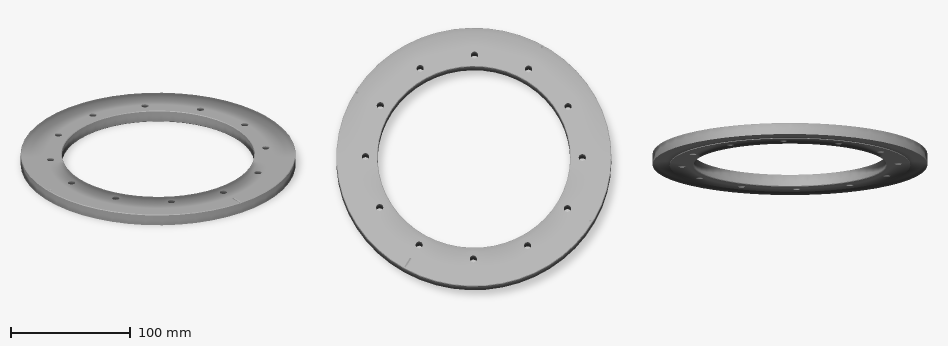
import cadquery as cq

OUTER_DIAMETER = 229.2
BORE_DIAMETER = 160.5
TOTAL_HEIGHT = 10.0

SEAT_DIAMETER = 200.5
SEAT_HEIGHT = 0.5

BOLT_COUNT = 12
BOLT_HOLE_DIAMETER = 6.0
BOLT_CIRCLE_DIAMETER = 180.5

EDGE_CHAMFER = 0.5

MARK_WIDTH = 2.0
MARK_DEPTH = 0.5
MARK_CENTRE_RADIUS = 112.5
MARK_ANGLES = (0, 90, 180, 270)
GROOVE_START_RADIUS = 103.8


def make_ring():
    """Revolved ring with a shallow, narrower seat under it and chamfered edges."""
    outer_radius = OUTER_DIAMETER / 2
    seat_radius = SEAT_DIAMETER / 2
    bore_radius = BORE_DIAMETER / 2
    profile = [
        (bore_radius + EDGE_CHAMFER, 0),
        (seat_radius, 0),
        (seat_radius, SEAT_HEIGHT),
        (outer_radius, SEAT_HEIGHT),
        (outer_radius, TOTAL_HEIGHT - EDGE_CHAMFER),
        (outer_radius - EDGE_CHAMFER, TOTAL_HEIGHT),
        (bore_radius + EDGE_CHAMFER, TOTAL_HEIGHT),
        (bore_radius, TOTAL_HEIGHT - EDGE_CHAMFER),
        (bore_radius, EDGE_CHAMFER),
    ]
    return cq.Workplane("XZ").polyline(profile).close().revolve(360, (0, 0), (0, 1))


def make_bolt_holes():
    """Through holes equally spaced on the bolt circle."""
    return (
        cq.Workplane("XY")
        .polarArray(BOLT_CIRCLE_DIAMETER / 2, 0, 360, BOLT_COUNT)
        .circle(BOLT_HOLE_DIAMETER / 2)
        .extrude(TOTAL_HEIGHT)
    )


def make_dimple(angle):
    """Shallow conical dimple in the top face at the given angle around the ring."""
    cone = cq.Solid.makeCone(
        MARK_WIDTH / 2,
        0,
        MARK_DEPTH,
        pnt=cq.Vector(MARK_CENTRE_RADIUS, 0, TOTAL_HEIGHT),
        dir=cq.Vector(0, 0, -1),
    )
    return cq.Workplane(cone).rotate((0, 0, 0), (0, 0, 1), angle)


def make_zero_groove():
    """Radial V-groove on the +X side, ending in the outer dimple there."""
    return (
        cq.Workplane("YZ")
        .workplane(offset=GROOVE_START_RADIUS)
        .moveTo(-MARK_WIDTH / 2, TOTAL_HEIGHT)
        .lineTo(0, TOTAL_HEIGHT - MARK_DEPTH)
        .lineTo(MARK_WIDTH / 2, TOTAL_HEIGHT)
        .close()
        .extrude(MARK_CENTRE_RADIUS - GROOVE_START_RADIUS)
    )


result = make_ring().cut(make_bolt_holes()).cut(make_zero_groove())
for mark_angle in MARK_ANGLES:
    result = result.cut(make_dimple(mark_angle))